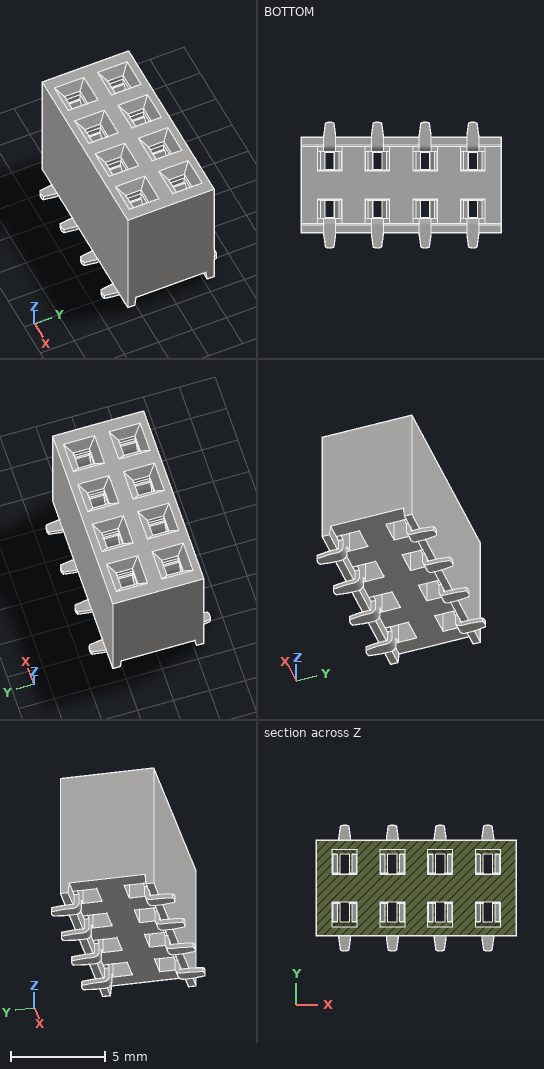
import cadquery as cq
import math

columns = 4
pitch = 2.54
housing_length = 10.66
housing_width = 5.08
overall_width = 6.7
housing_height = 7.2
sheet = 0.26
housing_top = sheet + housing_height

mouth_size = 1.74
throat_length = 0.95
throat_width = 0.91
mouth_depth = 0.5
throat_depth = 0.3

channel_depth = 0.6
channel_roof_width = 4.11
channel_mouth_width = 4.24
channel_roof = sheet + channel_depth

leg_outer_y = 2.05
leg_inner_y = leg_outer_y - sheet
bend_inner_radius = 0.07
bend_outer_radius = bend_inner_radius + sheet
foot_width = 0.64
foot_tip_width = 0.46
foot_taper_y = 2.65
foot_corner_y = 3.29
foot_tip_y = overall_width / 2
plate_width = 1.3

arm_gap = 0.48
arm_thickness = 0.16
arm_end_clearance = 0.05
arm_bend_radius = 0.91
arm_slope = math.radians(28)
arm_straight = 0.32
arm_tip_drop = 0.48

row_y = pitch / 2
cavity_top = housing_top - mouth_depth - throat_depth
cavity_inner_y = 2 * row_y - leg_inner_y
arm_end_y = cavity_inner_y + arm_end_clearance

column_x = [(i - (columns - 1) / 2) * pitch for i in range(columns)]


def block(length, y_start, y_end, z_start, z_end):
    """Box centred on X = 0 between the given Y and Z limits."""
    size = (length, y_end - y_start, z_end - z_start)
    return cq.Workplane("XY").box(*size, centered=(True, False, False)).translate((0, y_start, z_start))


def make_socket():
    """Material removed for the socket of a +Y contact: tapered mouth, straight throat and cavity."""
    mouth = (
        cq.Workplane("XY", origin=(0, row_y, housing_top))
        .rect(mouth_size, mouth_size)
        .workplane(offset=-mouth_depth)
        .rect(throat_length, throat_width)
        .loft(ruled=True)
    )
    throat_start_y = row_y - throat_width / 2
    throat_end_y = row_y + throat_width / 2
    throat = block(throat_length, throat_start_y, throat_end_y, cavity_top, housing_top - mouth_depth)
    cavity = block(plate_width, cavity_inner_y, leg_outer_y, channel_roof, cavity_top)
    return mouth.union(throat).union(cavity)


def place(body, x, side):
    """Move a +Y body to column x, turned half round for the -Y row (side = -1)."""
    angle = 0 if side > 0 else 180
    return body.rotate((0, 0, 0), (0, 0, 1), angle).translate((x, 0, 0))


def make_housing():
    """Block with a drafted channel along its underside and a socket for every contact."""
    body = block(housing_length, -housing_width / 2, housing_width / 2, sheet, housing_top)
    channel = (
        cq.Workplane("YZ")
        .polyline([
            (-channel_mouth_width / 2, sheet),
            (-channel_roof_width / 2, channel_roof),
            (channel_roof_width / 2, channel_roof),
            (channel_mouth_width / 2, sheet),
        ])
        .close()
        .extrude(housing_length / 2, both=True)
    )
    body = body.cut(channel)
    socket = make_socket()
    for x in column_x:
        for side in (1, -1):
            body = body.cut(place(socket, x, side))
    return body


def make_leg_and_foot():
    """Leg bent outward into a foot, which narrows to a rounded tip."""
    bend_y = leg_outer_y + bend_inner_radius
    bend_z = bend_outer_radius

    def bend_middle(radius):
        return (bend_y - radius * math.sqrt(0.5), bend_z - radius * math.sqrt(0.5))

    side_profile = (
        cq.Workplane("YZ")
        .moveTo(leg_inner_y, channel_roof)
        .lineTo(leg_inner_y, bend_z)
        .threePointArc(bend_middle(bend_outer_radius), (bend_y, 0))
        .lineTo(foot_tip_y, 0)
        .lineTo(foot_tip_y, sheet)
        .lineTo(bend_y, sheet)
        .threePointArc(bend_middle(bend_inner_radius), (leg_outer_y, bend_z))
        .lineTo(leg_outer_y, channel_roof)
        .close()
        .extrude(foot_width / 2, both=True)
    )
    plan = (
        cq.Workplane("XY")
        .moveTo(-foot_width / 2, leg_inner_y)
        .lineTo(-foot_width / 2, foot_taper_y)
        .lineTo(-foot_tip_width / 2, foot_corner_y)
        .threePointArc((0, foot_tip_y), (foot_tip_width / 2, foot_corner_y))
        .lineTo(foot_width / 2, foot_taper_y)
        .lineTo(foot_width / 2, leg_inner_y)
        .close()
        .extrude(channel_roof)
    )
    return side_profile.intersect(plan)


def make_arm():
    """Right-hand spring arm: a strip bowed toward the middle of the socket, sloping away at both ends."""
    bow_x = arm_gap / 2 + arm_bend_radius
    half_height = arm_bend_radius * math.sin(arm_slope) + arm_straight * math.cos(arm_slope)
    bow_z = cavity_top - arm_tip_drop - half_height
    back_radius = arm_bend_radius - arm_thickness

    def bend_end(radius, end):
        return (bow_x - radius * math.cos(arm_slope), bow_z + end * radius * math.sin(arm_slope))

    def strip_end(radius, end):
        x, z = bend_end(radius, end)
        return (x + arm_straight * math.sin(arm_slope), z + end * arm_straight * math.cos(arm_slope))

    return (
        cq.Workplane("XZ", origin=(0, leg_inner_y, 0))
        .moveTo(*strip_end(arm_bend_radius, 1))
        .lineTo(*bend_end(arm_bend_radius, 1))
        .threePointArc((bow_x - arm_bend_radius, bow_z), bend_end(arm_bend_radius, -1))
        .lineTo(*strip_end(arm_bend_radius, -1))
        .lineTo(*strip_end(back_radius, -1))
        .lineTo(*bend_end(back_radius, -1))
        .threePointArc((bow_x - back_radius, bow_z), bend_end(back_radius, 1))
        .lineTo(*strip_end(back_radius, 1))
        .close()
        .extrude(leg_inner_y - arm_end_y)
    )


def make_contact():
    """One +Y contact: back plate, bent leg and foot, and a mirrored pair of spring arms."""
    plate = block(plate_width, leg_inner_y, leg_outer_y, channel_roof, cavity_top)
    arm = make_arm()
    return plate.union(make_leg_and_foot()).union(arm).union(arm.mirror("YZ"))


housing = make_housing()
contact = make_contact()
contacts = [place(contact, x, side).solids().val() for x in column_x for side in (1, -1)]

result = cq.Compound.makeCompound([housing.solids().val(), *contacts])